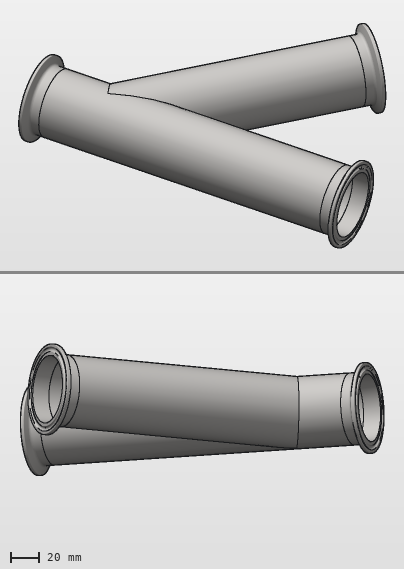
import cadquery as cq
import math

RUN_LENGTH = 247.6
BRANCH_ANGLE = 45.0
BRANCH_LENGTH = 194.0
CROSSING_FROM_FACE = 54.0

TUBE_RADIUS = 50.8 / 2
BORE_RADIUS = 47.5 / 2

FERRULE_LENGTH = 12.6
FLANGE_RADIUS = 64.0 / 2
RIM_THICKNESS = 2.7
RIM_FILLET = 0.5
CONE_ANGLE = 20.0
NECK_FILLET = 2.0
GROOVE_RADIUS = 28.0
GROOVE_WIDTH = 3.2
GROOVE_DEPTH = 1.2
GROOVE_LIP_FILLET = 0.37

TOLERANCE = 0.002

RUN_START = cq.Vector(-RUN_LENGTH / 2, 0, 0)
RUN_END = cq.Vector(RUN_LENGTH / 2, 0, 0)
RUN_DIRECTION = cq.Vector(1, 0, 0)
CROSSING = RUN_START + RUN_DIRECTION * CROSSING_FROM_FACE
BRANCH_DIRECTION = cq.Vector(
    math.cos(math.radians(BRANCH_ANGLE)), math.sin(math.radians(BRANCH_ANGLE)), 0
)
BRANCH_END = CROSSING + BRANCH_DIRECTION * BRANCH_LENGTH


def make_cylinder(radius, start, direction, length):
    return cq.Workplane(cq.Solid.makeCylinder(radius, length, start, direction))


def fillet_circle(body, radius, height, fillet_radius):
    """Round the circular edge of the given radius about Z that lies at the given height."""
    circle = body.edges("%CIRCLE").filter(
        lambda edge: abs(edge.radius() - radius) < TOLERANCE
        and abs(edge.Center().z - height) < TOLERANCE
    )
    return body.newObject(circle.vals()).fillet(fillet_radius)


def make_ferrule(face_centre, inward):
    """Ferrule with its sealing face at face_centre and its neck pointing inward."""
    cone_depth = (FLANGE_RADIUS - TUBE_RADIUS) * math.tan(math.radians(CONE_ANGLE))
    neck_start = RIM_THICKNESS + cone_depth
    plane = cq.Plane(origin=face_centre, xDir=cq.Vector(0, 0, 1), normal=inward)

    profile = (
        cq.Workplane("XZ")
        .moveTo(BORE_RADIUS, 0)
        .lineTo(FLANGE_RADIUS, 0)
        .lineTo(FLANGE_RADIUS, RIM_THICKNESS)
        .lineTo(TUBE_RADIUS, neck_start)
        .lineTo(TUBE_RADIUS, FERRULE_LENGTH)
        .lineTo(BORE_RADIUS, FERRULE_LENGTH)
        .close()
    )
    ferrule = profile.revolve(360, (0, 0, 0), (0, 1, 0))

    for rim_height in (0, RIM_THICKNESS):
        ferrule = fillet_circle(ferrule, FLANGE_RADIUS, rim_height, RIM_FILLET)
    ferrule = fillet_circle(ferrule, TUBE_RADIUS, neck_start, NECK_FILLET)

    half_width = GROOVE_WIDTH / 2
    groove = (
        cq.Workplane("XZ")
        .moveTo(GROOVE_RADIUS - half_width, 0)
        .threePointArc((GROOVE_RADIUS, GROOVE_DEPTH), (GROOVE_RADIUS + half_width, 0))
        .close()
        .revolve(360, (0, 0, 0), (0, 1, 0))
    )
    ferrule = ferrule.cut(groove)
    for lip_radius in (GROOVE_RADIUS - half_width, GROOVE_RADIUS + half_width):
        ferrule = fillet_circle(ferrule, lip_radius, 0, GROOVE_LIP_FILLET)
    return cq.Workplane(ferrule.solids().val().moved(cq.Location(plane)))


def make_run_tube():
    """Straight tube between the two run ferrules, bored through into the branch."""
    start = RUN_START + RUN_DIRECTION * FERRULE_LENGTH
    length = RUN_LENGTH - 2 * FERRULE_LENGTH
    tube = make_cylinder(TUBE_RADIUS, start, RUN_DIRECTION, length)
    bore = make_cylinder(BORE_RADIUS, start, RUN_DIRECTION, length)
    branch_bore = make_cylinder(BORE_RADIUS, CROSSING, BRANCH_DIRECTION, BRANCH_LENGTH)
    return tube.cut(bore).cut(branch_bore).solids()


def make_branch_tube():
    """Slanted tube, its foot shaped to sit on the outside of the run."""
    length = BRANCH_LENGTH - FERRULE_LENGTH
    tube = make_cylinder(TUBE_RADIUS, CROSSING, BRANCH_DIRECTION, length)
    bore = make_cylinder(BORE_RADIUS, CROSSING, BRANCH_DIRECTION, length)
    run_outside = make_cylinder(TUBE_RADIUS, RUN_START, RUN_DIRECTION, RUN_LENGTH)
    return tube.cut(run_outside).cut(bore).solids()


run_tube = make_run_tube()
branch_tube = make_branch_tube()

ferrule_places = [
    (RUN_START, RUN_DIRECTION),
    (RUN_END, RUN_DIRECTION * -1),
    (BRANCH_END, BRANCH_DIRECTION * -1),
]
ferrules = [make_ferrule(face_centre, inward) for face_centre, inward in ferrule_places]

result = cq.Compound.makeCompound(
    [run_tube.val(), branch_tube.val(), *[ferrule.val() for ferrule in ferrules]]
)